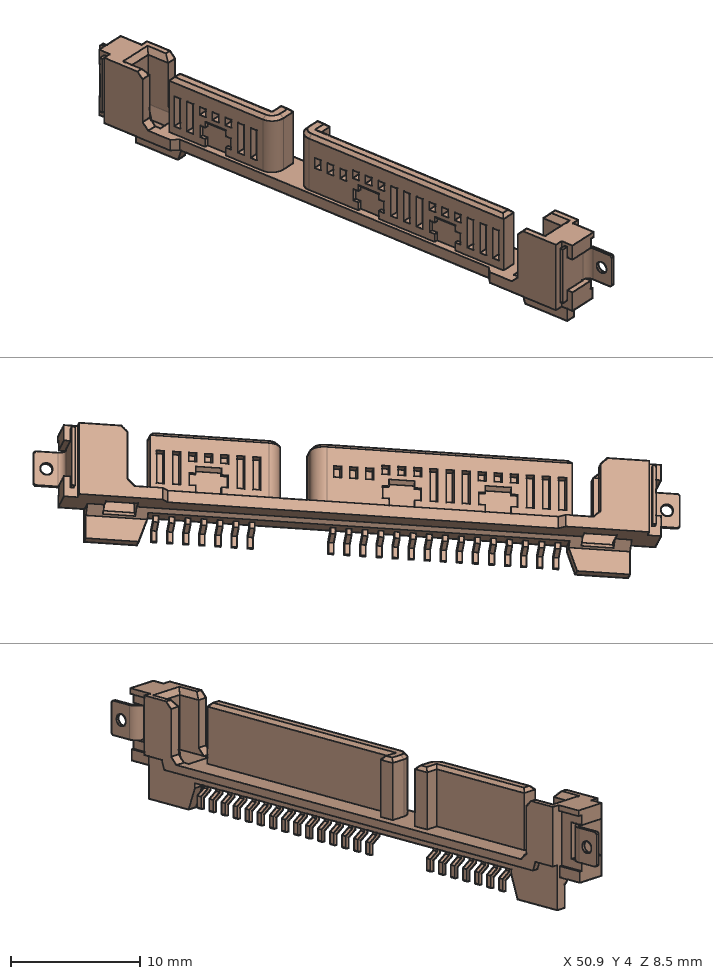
import cadquery as cq
TOP_Z = 5.9
PLATE_TOP = 0.95
PLATE_BOTTOM = -0.3
FOOT_BOTTOM = -2.6
PIN_BOTTOM = -2.15

BACK_Y = 4.0
FOOT_BACK = 3.5
FOOT_FRONT = 2.65
SLOPE_START = 1.95
SLOPE_DROP = FOOT_FRONT - SLOPE_START

TAB_END = 25.45
BLOCK_END = 23.55
FRONT_WALL_END = 22.45
BACK_WALL_END = 21.45
ARM_TIP = 18.65
ARM_CHAMFER = 0.5
ARM_ROOT_CHAMFER = 0.55
FRONT_STEP = 0.5
FRONT_STEP_X = 15.4
REAR_LIP_BOTTOM = 0.3
REAR_LIP_END_BOTTOM = 1.05
REAR_LIP_SLANT_X = 19.35
REAR_LIP_SLANT = 0.25

CAVITY_FRONT = 0.85
CAVITY_BACK = 3.15
CAVITY_OUTER = 20.65
CAVITY_BEVEL = 0.35
CAVITY_BEVEL_DEPTH = 0.5
HOLE_FRONT = 1.2
HOLE_BACK = 2.5
HOLE_OUTER = 20.1
HOLE_INNER = 17.55
HOLE_BOTTOM = -0.55
FUNNEL_BREAK_Y = 2.85
FUNNEL_BREAK_Z = -0.15

BLOCK_FRONT = 0.7
BLOCK_BACK = 3.0
BLOCK_LIP_BACK = 3.35
BLOCK_LIP_Z = 5.45
BLOCK_HEEL_BACK = 3.2
BLOCK_HEEL_Z = 0.9
TOP_BLOCK_Z = 4.65
LOW_BLOCK_Z = 1.7

SHEET = 0.25
SHEET_OUTER = 23.0
SHEET_FRONT = 0.15
SHEET_LOW = 0.75
SHEET_HIGH = 5.6
TAB_LOW = 1.75
TAB_HIGH = 4.55
TAB_BACK = 3.4
TAB_BEND = 0.55
TAB_CORNER = 0.15
TAB_HOLE_X = 24.45
TAB_HOLE_D = 0.95

FOOT_INNER_TOP = 16.6
FOOT_INNER_BOTTOM = 17.25

BLADE_FRONT = 0.85
BLADE_THICK = 1.25
HOOK_BACK = 3.25
BLADE_RADIUS = 1.1
BLADE_BEVEL = 0.3
SIGNAL_ENDS = (-16.7, -6.25)
POWER_ENDS = (-3.9, 16.55)

SIGNAL_FIRST, SIGNAL_COUNT = -15.9, 7
POWER_FIRST, POWER_LAST, POWER_COUNT = -1.95, 15.8, 15
PITCH = (POWER_LAST - POWER_FIRST) / (POWER_COUNT - 1)
PIN_WIDTH = 0.4
PIN_THICK = 0.35
PIN_TIP = 0.1
PIN_FRONT = 2.8
PIN_SHIFT = 0.75
PIN_BEND_TOP = -0.8
PIN_BEND_DROP = 0.45

WINDOW_WIDTH = 0.6
WINDOW_DEPTH = 0.7
TALL_WINDOW = (1.7, 4.4)
HIGH_WINDOW = (3.65, 4.4)
MID_WINDOW = (3.15, 4.05)
LATCH_DEPTH = 0.3
LATCH_REACH = 1.5 * PITCH
LATCH_WIDTH = 2.05
LATCH_WING_WIDTH = 3.05
LATCH_WINGS = (1.7, 2.7)
LATCH_TOP_FRONT = 3.25
LATCH_TOP_BACK = 2.95


def box(x0, x1, y0, y1, z0, z1):
    """Axis-aligned block between two corners."""
    return cq.Workplane("XY").box(x1 - x0, y1 - y0, z1 - z0, centered=False).translate((x0, y0, z0))


def prism_x(points, x0, x1):
    """(y, z) outline extruded along X."""
    return cq.Workplane("YZ").polyline(points).close().extrude(x1 - x0).translate((x0, 0, 0))


def prism_y(points, y0, y1):
    """(x, z) outline extruded along Y."""
    return cq.Workplane("XZ").polyline(points).close().extrude(y0 - y1).translate((0, y0, 0))


def both_ends(shape):
    """The right-hand shape together with its mirror image."""
    return shape.union(shape.mirror("YZ"))


def base_plate():
    """Long plate with a sloped keel underneath and a setback front."""
    profile = [
        (FRONT_STEP, 0), (SLOPE_START, 0), (SLOPE_START - PLATE_BOTTOM, PLATE_BOTTOM),
        (FOOT_BACK, PLATE_BOTTOM), (FOOT_BACK, PLATE_TOP), (FRONT_STEP, PLATE_TOP),
    ]
    plate = prism_x(profile, -FOOT_INNER_TOP, FOOT_INNER_TOP)
    rear_lip = box(-FOOT_INNER_TOP, FOOT_INNER_TOP, FOOT_BACK, BACK_Y, REAR_LIP_BOTTOM, PLATE_TOP)
    return plate.union(rear_lip)


def housing_body():
    """C-shaped end housing: low floor near the middle, tall arms further out."""
    floor_tip = ARM_TIP - ARM_ROOT_CHAMFER
    arm_side = [
        (FRONT_STEP_X, 0), (FRONT_WALL_END, 0), (FRONT_WALL_END, TOP_Z),
        (ARM_TIP + ARM_CHAMFER, TOP_Z), (ARM_TIP, TOP_Z - ARM_CHAMFER),
        (ARM_TIP, PLATE_TOP + ARM_ROOT_CHAMFER), (floor_tip, PLATE_TOP), (FRONT_STEP_X, PLATE_TOP),
    ]
    body = prism_y(arm_side, 0, BACK_Y)
    front_step = (
        cq.Workplane("XY")
        .polyline([(FRONT_STEP_X, 0), (FRONT_STEP_X + FRONT_STEP, 0), (FRONT_STEP_X, FRONT_STEP)])
        .close().extrude(PLATE_TOP)
    )
    back_corner = box(BACK_WALL_END, FRONT_WALL_END, BLOCK_BACK, BACK_Y, 0, TOP_Z)
    lip_end = REAR_LIP_SLANT_X + REAR_LIP_SLANT
    under_lip = prism_y(
        [
            (FRONT_STEP_X, 0), (BACK_WALL_END, 0), (BACK_WALL_END, REAR_LIP_END_BOTTOM),
            (lip_end, REAR_LIP_END_BOTTOM), (REAR_LIP_SLANT_X, REAR_LIP_BOTTOM),
            (FRONT_STEP_X, REAR_LIP_BOTTOM),
        ],
        FOOT_BACK, BACK_Y,
    )
    return body.cut(front_step).cut(back_corner).cut(under_lip)


def foot():
    """Foot that drops behind the sloped underside of a housing."""
    profile = [
        (SLOPE_START, 0), (FOOT_FRONT, -SLOPE_DROP), (FOOT_FRONT, FOOT_BOTTOM),
        (FOOT_BACK, FOOT_BOTTOM), (FOOT_BACK, 0),
    ]
    outline = [
        (FOOT_INNER_TOP, 0), (FOOT_INNER_TOP, -SLOPE_DROP), (FOOT_INNER_BOTTOM, FOOT_BOTTOM),
        (BACK_WALL_END, FOOT_BOTTOM), (BACK_WALL_END, 0),
    ]
    return prism_x(profile, FOOT_INNER_TOP, BACK_WALL_END).intersect(prism_y(outline, SLOPE_START, FOOT_BACK))


def guide_cavity():
    """Room between the arms, with a bevelled mouth and a funnel through the floor."""
    room = box(FRONT_STEP_X, CAVITY_OUTER, CAVITY_FRONT, CAVITY_BACK, PLATE_TOP, TOP_Z)
    bevel_z = TOP_Z - CAVITY_BEVEL_DEPTH
    mouth_across = prism_x(
        [
            (CAVITY_FRONT, bevel_z), (CAVITY_BACK, bevel_z),
            (CAVITY_BACK + CAVITY_BEVEL, TOP_Z), (CAVITY_FRONT - CAVITY_BEVEL, TOP_Z),
        ],
        FRONT_STEP_X, BLOCK_END,
    )
    mouth_along = prism_y(
        [
            (FRONT_STEP_X, bevel_z), (CAVITY_OUTER, bevel_z),
            (CAVITY_OUTER + CAVITY_BEVEL, TOP_Z), (FRONT_STEP_X, TOP_Z),
        ],
        0, BACK_Y,
    )
    funnel_across = prism_x(
        [
            (CAVITY_FRONT, PLATE_TOP), (CAVITY_BACK, PLATE_TOP), (FUNNEL_BREAK_Y, FUNNEL_BREAK_Z),
            (HOLE_BACK, HOLE_BOTTOM), (HOLE_FRONT, HOLE_BOTTOM), (HOLE_FRONT, 0),
        ],
        FRONT_STEP_X, BLOCK_END,
    )
    funnel_along = prism_y(
        [
            (HOLE_INNER, PLATE_TOP), (CAVITY_OUTER, PLATE_TOP),
            (HOLE_OUTER, 0), (HOLE_OUTER, HOLE_BOTTOM), (HOLE_INNER, HOLE_BOTTOM),
        ],
        0, BACK_Y,
    )
    return room.union(mouth_across.intersect(mouth_along)).union(funnel_across.intersect(funnel_along))


def gripping_blocks():
    """Upper and lower blocks on the outer side of a housing, with a pad behind the sheet."""
    upper = [
        (BLOCK_FRONT, TOP_BLOCK_Z), (BLOCK_BACK, TOP_BLOCK_Z), (BLOCK_BACK, BLOCK_LIP_Z),
        (BLOCK_LIP_BACK, BLOCK_LIP_Z), (BLOCK_LIP_BACK, TOP_Z), (BLOCK_FRONT, TOP_Z),
    ]
    lower = [
        (BLOCK_FRONT, 0), (BLOCK_HEEL_BACK, 0), (BLOCK_HEEL_BACK, BLOCK_HEEL_Z),
        (BLOCK_BACK, BLOCK_HEEL_Z), (BLOCK_BACK, LOW_BLOCK_Z), (BLOCK_FRONT, LOW_BLOCK_Z),
    ]
    pad = box(FRONT_WALL_END, SHEET_OUTER - SHEET, BLOCK_FRONT, BLOCK_BACK - TAB_BEND, 0, TOP_Z)
    blocks = prism_x(upper, BACK_WALL_END, BLOCK_END).union(prism_x(lower, BACK_WALL_END, BLOCK_END))
    return blocks.union(pad)


def metal_tab():
    """Sheet between the blocks, bent outward into a drilled tab."""
    sheet_inner = SHEET_OUTER - SHEET
    outer_bend = TAB_BEND + SHEET
    bend_y = TAB_BACK - outer_bend
    sheet = box(sheet_inner, SHEET_OUTER, SHEET_FRONT, bend_y, SHEET_LOW, SHEET_HIGH)
    bent = (
        cq.Workplane("XY")
        .moveTo(sheet_inner, SHEET_FRONT)
        .lineTo(SHEET_OUTER, SHEET_FRONT)
        .lineTo(SHEET_OUTER, bend_y)
        .radiusArc((SHEET_OUTER + TAB_BEND, TAB_BACK - SHEET), TAB_BEND)
        .lineTo(TAB_END, TAB_BACK - SHEET)
        .lineTo(TAB_END, TAB_BACK)
        .lineTo(SHEET_OUTER + TAB_BEND, TAB_BACK)
        .radiusArc((sheet_inner, bend_y), -outer_bend)
        .close()
        .extrude(TAB_HIGH - TAB_LOW)
        .translate((0, 0, TAB_LOW))
        .edges("|Y and >X").chamfer(TAB_CORNER)
    )
    hole = (
        cq.Workplane("XZ")
        .center(TAB_HOLE_X, (TAB_LOW + TAB_HIGH) / 2)
        .circle(TAB_HOLE_D / 2).extrude(-BACK_Y)
    )
    return sheet.union(bent).cut(hole)


def blade(hook_x, far_x):
    """Upright contact wall with a rounded corner and a hook turned to the back."""
    toward = 1 if far_x > hook_x else -1
    inner_x = hook_x + toward * BLADE_THICK
    blade_back = BLADE_FRONT + BLADE_THICK
    return (
        cq.Workplane("XY", origin=(0, 0, PLATE_TOP))
        .moveTo(far_x, BLADE_FRONT)
        .lineTo(hook_x + toward * BLADE_RADIUS, BLADE_FRONT)
        .radiusArc((hook_x, BLADE_FRONT + BLADE_RADIUS), toward * BLADE_RADIUS)
        .lineTo(hook_x, HOOK_BACK)
        .lineTo(inner_x, HOOK_BACK)
        .lineTo(inner_x, blade_back)
        .lineTo(far_x, blade_back)
        .close()
        .extrude(TOP_Z - PLATE_TOP)
        .faces(">Z").edges().chamfer(BLADE_BEVEL)
    )


def window(x, span):
    """Blind slot in the front of a blade."""
    half = WINDOW_WIDTH / 2
    return box(x - half, x + half, BLADE_FRONT, BLADE_FRONT + WINDOW_DEPTH, *span)


def latch_recess(x):
    """Shallow T-shaped recess with a sloped lintel."""
    back = BLADE_FRONT + LATCH_DEPTH
    stem = prism_x(
        [
            (BLADE_FRONT, PLATE_TOP), (back, PLATE_TOP),
            (back, LATCH_TOP_BACK), (BLADE_FRONT, LATCH_TOP_FRONT),
        ],
        x - LATCH_WIDTH / 2, x + LATCH_WIDTH / 2,
    )
    half = LATCH_WING_WIDTH / 2
    return stem.union(box(x - half, x + half, BLADE_FRONT, back, *LATCH_WINGS))


def pin(x):
    """Contact tail that steps to the back below the plate."""
    bend_end = PIN_BEND_TOP - PIN_BEND_DROP
    back = PIN_FRONT + PIN_THICK
    profile = [
        (PIN_FRONT, 0), (PIN_FRONT, PIN_BEND_TOP), (PIN_FRONT + PIN_SHIFT, bend_end),
        (PIN_FRONT + PIN_SHIFT, PIN_BOTTOM), (back + PIN_SHIFT - PIN_TIP, PIN_BOTTOM),
        (back + PIN_SHIFT, PIN_BOTTOM + PIN_TIP),
        (back + PIN_SHIFT, bend_end + PIN_THICK / 2), (back, PIN_BEND_TOP + PIN_THICK / 2), (back, 0),
    ]
    return prism_x(profile, x - PIN_WIDTH / 2, x + PIN_WIDTH / 2)


signal_x = [SIGNAL_FIRST + i * PITCH for i in range(SIGNAL_COUNT)]
power_x = [POWER_FIRST + i * PITCH for i in range(POWER_COUNT)]

housing = housing_body().union(gripping_blocks()).union(foot()).cut(guide_cavity()).union(metal_tab())
result = base_plate().union(both_ends(housing))

result = result.union(blade(SIGNAL_ENDS[1], SIGNAL_ENDS[0]))
result = result.union(blade(POWER_ENDS[0], POWER_ENDS[1]))

latch_x = [signal_x[3], power_x[4], power_x[10]]
mid_x = power_x[:3]
for x in signal_x + power_x:
    beside_latch = any(abs(x - latch) < LATCH_REACH for latch in latch_x)
    if x in mid_x:
        result = result.cut(window(x, MID_WINDOW))
    elif beside_latch:
        result = result.cut(window(x, HIGH_WINDOW))
    else:
        result = result.cut(window(x, TALL_WINDOW))
for x in latch_x:
    result = result.cut(latch_recess(x))

for x in signal_x + power_x:
    result = result.union(pin(x))